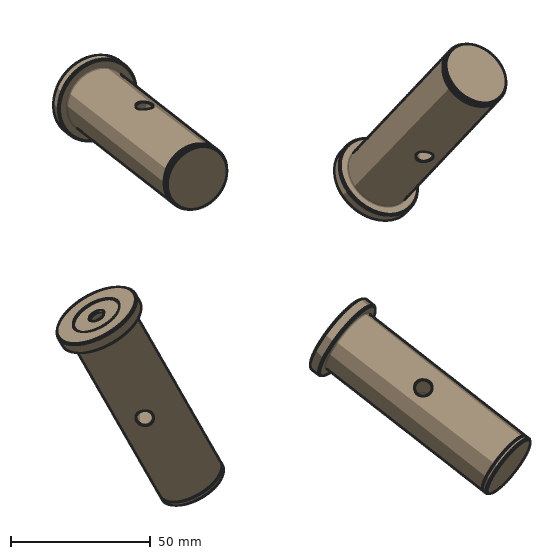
import cadquery as cq
import math

total_length = 80.0
shaft_diameter = 25.0
shaft_radius = shaft_diameter / 2
tip_chamfer = 0.5

flange_diameter = 32.0
flange_radius = flange_diameter / 2
flange_thickness = 4.7
flange_chamfer = 0.5

root_fillet = 0.2

groove_depth = 0.3
groove_angle = 60.0
groove_width = 2 * groove_depth * math.tan(math.radians(groove_angle / 2))
groove_end_distance = 2.05
groove_position = total_length - groove_end_distance

recess_diameter = 18.6
recess_floor_diameter = 18.0
recess_depth = 0.3

thread_diameter = 6.2
core_diameter = 5.0
core_depth = 15.0
drill_point_angle = 118.0

cross_hole_diameter = 6.0
cross_hole_chamfer = 0.3
cross_hole_position = total_length / 2


def revolve_about_x(points):
    """Revolve a closed outline of (x, radius) points about the X axis."""
    return cq.Workplane("XY").polyline(points).close().revolve(360, (0, 0, 0), (1, 0, 0))


def make_body():
    """Flange and shaft as one turned profile."""
    root_radius = shaft_radius + root_fillet
    root_end = flange_thickness + root_fillet
    root_middle = root_fillet * (1 - math.sqrt(0.5))
    return (
        cq.Workplane("XY")
        .lineTo(0, flange_radius - flange_chamfer)
        .lineTo(flange_chamfer, flange_radius)
        .lineTo(flange_thickness - flange_chamfer, flange_radius)
        .lineTo(flange_thickness, flange_radius - flange_chamfer)
        .lineTo(flange_thickness, root_radius)
        .threePointArc(
            (flange_thickness + root_middle, shaft_radius + root_middle),
            (root_end, shaft_radius),
        )
        .lineTo(groove_position - groove_width / 2, shaft_radius)
        .lineTo(groove_position, shaft_radius - groove_depth)
        .lineTo(groove_position + groove_width / 2, shaft_radius)
        .lineTo(total_length - tip_chamfer, shaft_radius)
        .lineTo(total_length, shaft_radius - tip_chamfer)
        .lineTo(total_length, 0)
        .close()
        .revolve(360, (0, 0, 0), (1, 0, 0))
    )


def make_face_cut():
    """Recess, thread mouth chamfer and blind core hole with a drill point."""
    core_radius = core_diameter / 2
    mouth_chamfer = (thread_diameter - core_diameter) / 2
    core_end = recess_depth + core_depth
    point_length = core_radius / math.tan(math.radians(drill_point_angle / 2))
    return revolve_about_x([
        (0, 0),
        (0, recess_diameter / 2),
        (recess_depth, recess_floor_diameter / 2),
        (recess_depth, thread_diameter / 2),
        (recess_depth + mouth_chamfer, core_radius),
        (core_end, core_radius),
        (core_end + point_length, 0),
    ])


def drill_cross_hole(body):
    """Drill through along Z and chamfer the rim at both ends evenly."""
    hole = (
        cq.Workplane("XY")
        .center(cross_hole_position, 0)
        .circle(cross_hole_diameter / 2)
        .extrude(shaft_diameter, both=True)
    )
    rim_finder = cq.selectors.BoxSelector(
        (cross_hole_position - cross_hole_diameter, -cross_hole_diameter, -shaft_diameter),
        (cross_hole_position + cross_hole_diameter, cross_hole_diameter, shaft_diameter),
        boundingbox=True,
    )
    return body.cut(hole).edges(rim_finder).edges("not |Z").chamfer(cross_hole_chamfer)


body = make_body().cut(make_face_cut())
result = drill_cross_hole(body)